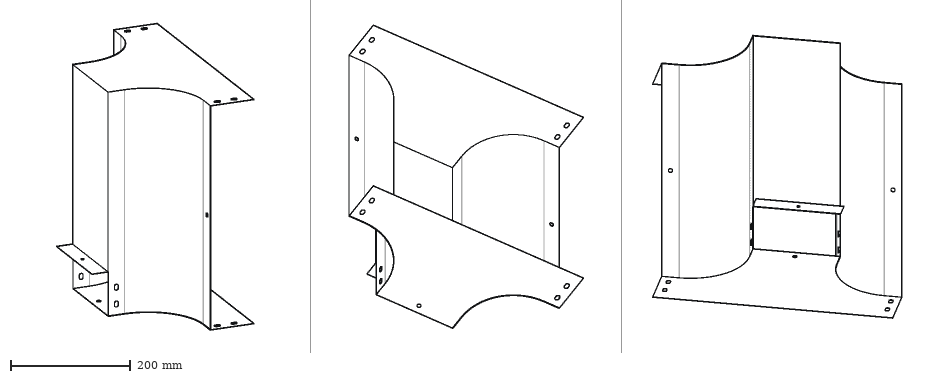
import cadquery as cq

width = 410.0
depth = 240.0
height = 400.0
sheet = 1.0

flange_length = 30.0
bend_radius = 100.0
branch_half = width / 2 - flange_length - bend_radius
back_y = depth / 2
front_y = -depth / 2 + flange_length
arc_front_y = front_y + flange_length
flange_y = arc_front_y + bend_radius
arc_end_x = branch_half + bend_radius
opening_height = 79.0

hole_diameter = 7.0
lip_hole_diameter = 5.0
slot_length = 10.5
edge_offset = flange_length / 2
end_slot_offsets = (30.0, 60.5)
side_slot_heights = (20.0, 50.0)


def tee_outline(inset):
    """Closed plan outline, with its concave walls moved inward by the inset."""
    half = branch_half - inset
    wall_y = flange_y + inset
    middle = (bend_radius + inset) * 0.5 ** 0.5
    return (
        cq.Workplane("XY")
        .moveTo(-width / 2, back_y)
        .lineTo(-width / 2, wall_y)
        .lineTo(-arc_end_x, wall_y)
        .threePointArc((-arc_end_x + middle, arc_front_y + middle), (-half, arc_front_y))
        .lineTo(-half, front_y)
        .lineTo(half, front_y)
        .lineTo(half, arc_front_y)
        .threePointArc((arc_end_x - middle, arc_front_y + middle), (arc_end_x, wall_y))
        .lineTo(width / 2, wall_y)
        .lineTo(width / 2, back_y)
        .close()
    )


def block(x_range, y_range, z_range):
    """Box given by its limits along each axis."""
    size = [high - low for low, high in (x_range, y_range, z_range)]
    corner = (x_range[0], y_range[0], z_range[0])
    return cq.Workplane("XY").box(*size, centered=False).translate(corner)


outer = tee_outline(0).extrude(height)
inner = tee_outline(sheet).extrude(height)
base = tee_outline(0).extrude(sheet)
lid = base.translate((0, 0, height - sheet))
side_walls = outer.cut(inner)
body = side_walls.union(base).union(lid)

branch_range = (-branch_half, branch_half)
panel = block(branch_range, (front_y - sheet, front_y), (opening_height, height))
lip = block(branch_range, (-depth / 2, front_y), (opening_height, opening_height + sheet))
body = body.union(panel).union(lip)

end_slots = (
    cq.Workplane("XY")
    .pushPoints([
        (side * (width / 2 - edge_offset), back_y - offset)
        for side in (-1, 1)
        for offset in end_slot_offsets
    ])
    .slot2D(slot_length, hole_diameter, 90)
    .extrude(height)
)

side_slots = (
    cq.Workplane("YZ")
    .pushPoints([(front_y + edge_offset, z) for z in side_slot_heights])
    .slot2D(slot_length, hole_diameter, 90)
    .extrude(branch_half, both=True)
)

flange_holes = (
    cq.Workplane("XZ", origin=(0, flange_y + sheet, height / 2))
    .pushPoints([(side * (width / 2 - edge_offset), 0) for side in (-1, 1)])
    .circle(hole_diameter / 2)
    .extrude(sheet)
)
base_hole = (
    cq.Workplane("XY")
    .center(0, front_y + edge_offset)
    .circle(hole_diameter / 2)
    .extrude(sheet)
)
lip_hole = (
    cq.Workplane("XY", origin=(0, front_y - edge_offset, opening_height))
    .circle(lip_hole_diameter / 2)
    .extrude(sheet)
)

for cutter in (end_slots, side_slots, flange_holes, base_hole, lip_hole):
    body = body.cut(cutter)

result = body